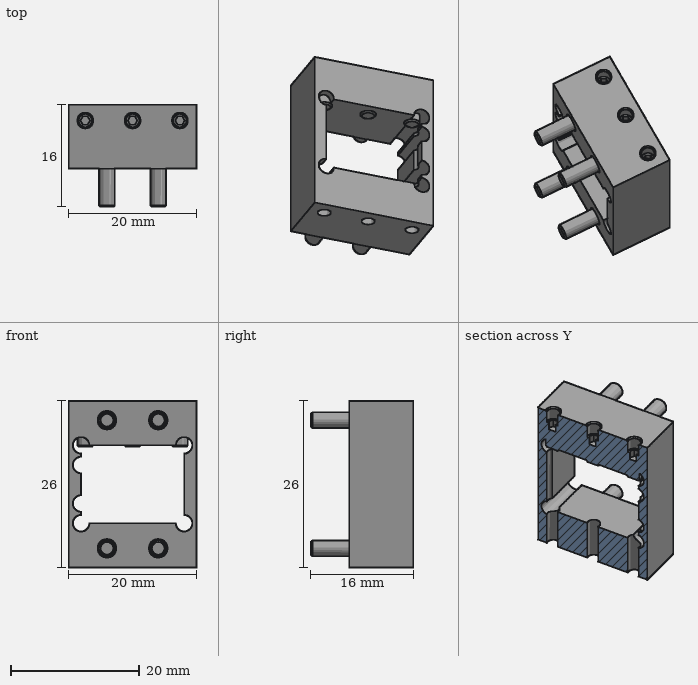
import cadquery as cq
import math

block_width = 20.0
block_height = 26.0
overall_depth = 16.0
block_depth = 10.0
front_y = -block_depth / 2
back_y = block_depth / 2
top_z = block_height / 2

window_width = 16.07
window_height = 12.17
relief_diameter = 2.55
side_relief_spacing = 6.0

pin_diameter = 2.5
pin_length = overall_depth - block_depth
pin_chamfer = 0.25
pin_spacing_x = 8.0
pin_spacing_z = 20.0
recess_diameter = 2.9
recess_depth = 1.0

screw_pitch = 7.38
screw_inset = 2.5
screw_diameter = 2.5
screw_length = 5.0
screw_chamfer = 0.25
screw_protrusion = 0.25
hex_across_flats = 1.3
hex_depth = 1.3
core_diameter = 2.05
hole_mouth_diameter = screw_diameter

screw_y = back_y - screw_inset
screw_tip_z = window_height / 2 - screw_protrusion
screw_head_z = screw_tip_z + screw_length


def window_cutter():
    """Rectangular opening, its four corner reliefs and the two reliefs of the left wall."""
    half_width = window_width / 2
    half_height = window_height / 2
    corners = [(x, z) for x in (-half_width, half_width) for z in (-half_height, half_height)]
    side_reliefs = [(-half_width, side * side_relief_spacing / 2) for side in (-1, 1)]
    back = cq.Workplane("XZ", origin=(0, back_y, 0))
    opening = back.rect(window_width, window_height).extrude(block_depth)
    reliefs = back.pushPoints(corners + side_reliefs).circle(relief_diameter / 2).extrude(block_depth)
    return opening.union(reliefs)


def screw_hole():
    """Threaded hole through the whole height, with a 45 degree countersink at the top."""
    countersink_depth = (hole_mouth_diameter - core_diameter) / 2
    top = cq.Workplane("XY", origin=(0, 0, top_z))
    bore = top.circle(core_diameter / 2).extrude(-block_height)
    countersink = top.circle(hole_mouth_diameter / 2).extrude(-countersink_depth, taper=45)
    return bore.union(countersink)


def set_screw():
    """Set screw with a chamfered tip below and a hexagon socket above."""
    hex_across_corners = hex_across_flats / math.cos(math.pi / 6)
    body = (
        cq.Workplane("XY", origin=(0, 0, screw_tip_z))
        .circle(screw_diameter / 2)
        .extrude(screw_length)
        .faces("<Z")
        .chamfer(screw_chamfer)
    )
    socket = (
        cq.Workplane("XY", origin=(0, 0, screw_head_z))
        .polygon(6, hex_across_corners)
        .extrude(-hex_depth)
    )
    return body.cut(socket)


def pin_recess():
    """Round recess in the front face around one pin."""
    return cq.Workplane("XZ", origin=(0, front_y, 0)).circle(recess_diameter / 2).extrude(-recess_depth)


def pin():
    """Pin with a chamfered tip; its foot flares to the recess diameter at the recess floor."""
    foot_height = (recess_diameter - pin_diameter) / 2
    floor = cq.Workplane("XZ", origin=(0, front_y + recess_depth, 0))
    shank = (
        floor.circle(pin_diameter / 2)
        .extrude(recess_depth + pin_length)
        .faces("<Y")
        .chamfer(pin_chamfer)
    )
    foot = floor.circle(recess_diameter / 2).extrude(foot_height, taper=45)
    return shank.union(foot)


block = cq.Workplane("XY").box(block_width, block_depth, block_height)
block = block.cut(window_cutter())

for x in (-screw_pitch, 0, screw_pitch):
    place = (x, screw_y, 0)
    block = block.cut(screw_hole().translate(place))
    block = block.union(set_screw().translate(place))

for x in (-pin_spacing_x / 2, pin_spacing_x / 2):
    for z in (-pin_spacing_z / 2, pin_spacing_z / 2):
        place = (x, 0, z)
        block = block.cut(pin_recess().translate(place))
        block = block.union(pin().translate(place))

result = block